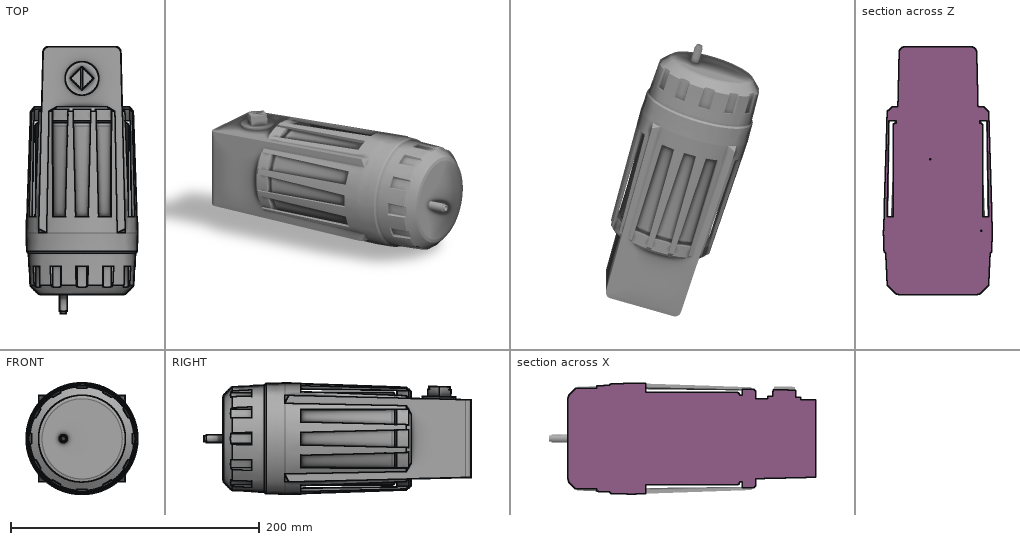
import cadquery as cq
import math


BLOCK_BACK_Y = 200.0
BLOCK_BACK_HALF = 31.3
BLOCK_FRONT_HALF = 34.9
BLOCK_CORNER_RADIUS = 5.0
BLOCK_NOSE_LENGTH = 3.3
BLOCK_NOSE_RISE = 4.4

CAGE_FRONT_Y = 50.0
CAGE_BACK_Y = 151.7
CAGE_FRONT_RADIUS = 45.0
CAGE_BACK_RADIUS = 42.0
CAGE_CHAMFER = 4.0
CAVITY_FRONT_Y = 63.0
CAVITY_BACK_Y = 140.2
CAVITY_FRONT_RADIUS = 41.7
CAVITY_BACK_RADIUS = 40.3
BACK_RING_RADIUS = 40.0
SIDE_COUNT = 4
MIDDLE_SLOT_FRONT_HALF = 5.1
MIDDLE_SLOT_BACK_HALF = 7.2
RIB_FRONT_WIDTH = 8.4
RIB_BACK_WIDTH = 4.1
RIB_LEAN = 0.3
OUTER_SLOT_FRONT_EDGE = 22.4
OUTER_SLOT_BACK_EDGE = 23.2
OUTER_SLOT_LEAN = 0.15

CORE_RADIUS = 75.0 / 2
CORE_BACK_Y = 138.6
NECK_RADIUS = 70.0 / 2
CORE_EDGE_FILLET = CORE_RADIUS - NECK_RADIUS

COLLAR_FRONT_Y = 35.0
COLLAR_FRONT_RADIUS = 44.5
CAP_BACK_Y = 33.5
CAP_BACK_RADIUS = 43.2
CAP_FRONT_RADIUS = 84.0 / 2
CAP_RIM_RADIUS = 70.0 / 2
CAP_FACE_RADIUS = 32.3
CAP_RIM_Y = 0.7
CAP_SLOPE_LENGTH = 7.0

GRIP_COUNT = 12
GRIP_FRONT_Y = 5.0
GRIP_BACK_Y = 23.3
GRIP_FLOOR_RADIUS = 40.6
GRIP_FLOOR_WIDTH = 7.7
GRIP_MOUTH_WIDTH = 9.6
GRIP_MOUTH_RADIUS = CAP_FRONT_RADIUS

PIN_X = -15.0
PIN_DIAMETER = 6.5
PIN_TIP_DIAMETER = 4.92
PIN_BORE_DIAMETER = 4.0
PIN_LENGTH = 15.1
PIN_TIP_LENGTH = 2.0

KNOB_Y = 174.3
KNOB_DISK_DIAMETER = 27.0
KNOB_DISK_HEIGHT = 2.0
KNOB_GRIP_SIDE = 13.3
KNOB_GRIP_HEIGHT = 8.0
KNOB_SLOT_WIDTH = 1.6
KNOB_SLOT_DEPTH = 2.5

OVERLAP = 1.0
OUTSIDE_RADIUS = 60.0

BLOCK_LENGTH = BLOCK_BACK_Y - CAGE_FRONT_Y
BLOCK_SLOPE = (BLOCK_FRONT_HALF - BLOCK_BACK_HALF) / BLOCK_LENGTH
BLOCK_TAPER_ANGLE = math.degrees(math.atan(BLOCK_SLOPE))


def revolve_profile(points):
    """Turn a closed outline of (radius, y) points around the Y axis."""
    return cq.Workplane("XY").polyline(points).close().revolve(360, (0, 0, 0), (0, 1, 0))


def repeat_around_y(shape, count):
    """Equally spaced copies of a shape around the Y axis."""
    copies = cq.Workplane("XY")
    for index in range(count):
        copies = copies.add(shape.rotate((0, 0, 0), (0, 1, 0), index * 360 / count))
    return copies.combine()


def make_housing():
    """Cap, collar and cage as one solid of revolution."""
    return revolve_profile([
        (0, 0),
        (CAP_FACE_RADIUS, 0),
        (CAP_RIM_RADIUS, CAP_RIM_Y),
        (CAP_FRONT_RADIUS, CAP_RIM_Y + CAP_SLOPE_LENGTH),
        (CAP_BACK_RADIUS, CAP_BACK_Y),
        (COLLAR_FRONT_RADIUS, COLLAR_FRONT_Y),
        (CAGE_FRONT_RADIUS, CAGE_FRONT_Y),
        (CAGE_BACK_RADIUS, CAGE_BACK_Y - CAGE_CHAMFER),
        (CAGE_BACK_RADIUS - CAGE_CHAMFER, CAGE_BACK_Y),
        (0, CAGE_BACK_Y),
    ])


def make_taper(plane, front_y, front_half, back_y, back_half):
    """Prism with a tapered outline along Y, as long as the housing is wide."""
    return (
        cq.Workplane(plane)
        .polyline([
            (-front_half, front_y),
            (front_half, front_y),
            (back_half, back_y),
            (-back_half, back_y),
        ])
        .close()
        .extrude(OUTSIDE_RADIUS, both=True)
    )


def make_block():
    """Square block that narrows toward the back, with sloped front ends on its corner bars."""
    taper = (CAGE_FRONT_Y, BLOCK_FRONT_HALF, BLOCK_BACK_Y, BLOCK_BACK_HALF)
    across_z = make_taper("XY", *taper).edges("|Z and >Y").fillet(BLOCK_CORNER_RADIUS)
    across_x = make_taper("ZY", *taper)
    nose_radius = CAGE_FRONT_RADIUS + BLOCK_NOSE_RISE
    nose = revolve_profile([
        (0, CAGE_FRONT_Y),
        (CAGE_FRONT_RADIUS, CAGE_FRONT_Y),
        (nose_radius, CAGE_FRONT_Y + BLOCK_NOSE_LENGTH),
        (OUTSIDE_RADIUS, CAGE_FRONT_Y + BLOCK_NOSE_LENGTH),
        (OUTSIDE_RADIUS, BLOCK_BACK_Y),
        (0, BLOCK_BACK_Y),
    ])
    return across_z.intersect(across_x).intersect(nose)


def make_cavity():
    """Space between the core and the cage, with a groove behind the core."""
    fillet_start_y = CORE_BACK_Y - CORE_EDGE_FILLET
    fillet_inset = CORE_EDGE_FILLET * (1 - math.sqrt(0.5))
    return (
        cq.Workplane("XY")
        .moveTo(CORE_RADIUS, CAVITY_FRONT_Y)
        .lineTo(CORE_RADIUS, fillet_start_y)
        .threePointArc(
            (CORE_RADIUS - fillet_inset, CORE_BACK_Y - fillet_inset),
            (NECK_RADIUS, CORE_BACK_Y),
        )
        .lineTo(NECK_RADIUS, CAVITY_BACK_Y)
        .lineTo(CAVITY_BACK_RADIUS, CAVITY_BACK_Y)
        .lineTo(CAVITY_FRONT_RADIUS, CAVITY_FRONT_Y)
        .close()
        .revolve(360, (0, 0, 0), (0, 1, 0))
    )


def make_middle_slot():
    """Cutter for the middle slot of the +Z side, wider toward the back."""
    return (
        cq.Workplane("XY")
        .polyline([
            (-MIDDLE_SLOT_FRONT_HALF, CAVITY_FRONT_Y),
            (MIDDLE_SLOT_FRONT_HALF, CAVITY_FRONT_Y),
            (MIDDLE_SLOT_BACK_HALF, CAGE_BACK_Y),
            (-MIDDLE_SLOT_BACK_HALF, CAGE_BACK_Y),
        ])
        .close()
        .extrude(OUTSIDE_RADIUS)
    )


def outer_slot_points(height):
    """Outline of the +X outer slot of the +Z side at a height above the axis."""
    rib_front = MIDDLE_SLOT_FRONT_HALF + RIB_FRONT_WIDTH
    rib_back = MIDDLE_SLOT_BACK_HALF + RIB_BACK_WIDTH
    rib_front_height = math.sqrt(CAGE_FRONT_RADIUS**2 - rib_front**2)
    rib_back_height = math.sqrt(CAGE_BACK_RADIUS**2 - rib_back**2)
    floor_height = math.sqrt(CORE_RADIUS**2 - OUTER_SLOT_FRONT_EDGE**2)
    edge_lean = OUTER_SLOT_LEAN * (height - floor_height)
    return [
        (rib_front + RIB_LEAN * (height - rib_front_height), CAVITY_FRONT_Y),
        (OUTER_SLOT_FRONT_EDGE + edge_lean, CAVITY_FRONT_Y),
        (OUTER_SLOT_BACK_EDGE + edge_lean, CAGE_BACK_Y),
        (rib_back + RIB_LEAN * (height - rib_back_height), CAGE_BACK_Y),
    ]


def make_outer_slot():
    """Cutter for an outer slot, with both side walls leaning outward."""
    return (
        cq.Workplane("XY")
        .polyline(outer_slot_points(0))
        .close()
        .workplane(offset=OUTSIDE_RADIUS)
        .polyline(outer_slot_points(OUTSIDE_RADIUS))
        .close()
        .loft(ruled=True)
    )


def make_slots(housing):
    """Three slots through the cage wall on each side, kept inside the housing's surface."""
    outer = make_outer_slot()
    slots = make_middle_slot().union(outer).union(outer.mirror("YZ"))
    inner = revolve_profile([
        (0, CAVITY_FRONT_Y),
        (CORE_RADIUS, CAVITY_FRONT_Y),
        (CORE_RADIUS, CAVITY_BACK_Y),
        (BACK_RING_RADIUS, CAVITY_BACK_Y),
        (BACK_RING_RADIUS, CAGE_BACK_Y),
        (0, CAGE_BACK_Y),
    ])
    return repeat_around_y(slots.cut(inner).intersect(housing), SIDE_COUNT)


def make_grips():
    """Flat-floored recesses with sloped sides around the cap."""
    grip_depth = GRIP_MOUTH_RADIUS - GRIP_FLOOR_RADIUS
    side_slope = (GRIP_MOUTH_WIDTH - GRIP_FLOOR_WIDTH) / 2 / grip_depth
    top_radius = CAP_BACK_RADIUS + OVERLAP
    floor_half = GRIP_FLOOR_WIDTH / 2
    top_half = floor_half + side_slope * (top_radius - GRIP_FLOOR_RADIUS)
    grip = (
        cq.Workplane("XZ", origin=(0, GRIP_BACK_Y, 0))
        .polyline([
            (-floor_half, GRIP_FLOOR_RADIUS),
            (floor_half, GRIP_FLOOR_RADIUS),
            (top_half, top_radius),
            (-top_half, top_radius),
        ])
        .close()
        .extrude(GRIP_BACK_Y - GRIP_FRONT_Y)
    )
    return repeat_around_y(grip, GRIP_COUNT)


def make_pin():
    """Hollow pin with a stepped-down tip, standing on the front face."""
    shank_length = PIN_LENGTH - PIN_TIP_LENGTH
    shank = (
        cq.Workplane("XZ", origin=(PIN_X, OVERLAP, 0))
        .circle(PIN_DIAMETER / 2)
        .extrude(shank_length + OVERLAP)
    )
    tip = (
        cq.Workplane("XZ", origin=(PIN_X, -shank_length, 0))
        .circle(PIN_TIP_DIAMETER / 2)
        .extrude(PIN_TIP_LENGTH)
    )
    bore = (
        cq.Workplane("XZ", origin=(PIN_X, 0, 0))
        .circle(PIN_BORE_DIAMETER / 2)
        .extrude(PIN_LENGTH)
    )
    return shank.union(tip).cut(bore)


def make_knob():
    """Disk with a slotted diamond grip, square to the block's sloping top face."""
    grip_top = KNOB_DISK_HEIGHT + KNOB_GRIP_HEIGHT
    disk = (
        cq.Workplane("XY", origin=(0, 0, -OVERLAP))
        .circle(KNOB_DISK_DIAMETER / 2)
        .extrude(KNOB_DISK_HEIGHT + OVERLAP)
    )
    grip = (
        cq.Workplane("XY")
        .rect(KNOB_GRIP_SIDE, KNOB_GRIP_SIDE)
        .extrude(grip_top)
        .rotate((0, 0, 0), (0, 0, 1), 45)
    )
    slot = (
        cq.Workplane("XY", origin=(0, 0, grip_top - KNOB_SLOT_DEPTH))
        .rect(KNOB_SLOT_WIDTH, KNOB_DISK_DIAMETER)
        .extrude(KNOB_SLOT_DEPTH)
    )
    base_z = BLOCK_BACK_HALF + BLOCK_SLOPE * (BLOCK_BACK_Y - KNOB_Y)
    return (
        disk.union(grip.cut(slot))
        .rotate((0, 0, 0), (1, 0, 0), -BLOCK_TAPER_ANGLE)
        .translate((0, KNOB_Y, base_z))
    )


housing = make_housing()
body = housing.union(make_block())
body = body.cut(make_cavity()).cut(make_slots(housing)).cut(make_grips())
result = body.union(make_pin()).union(make_knob())